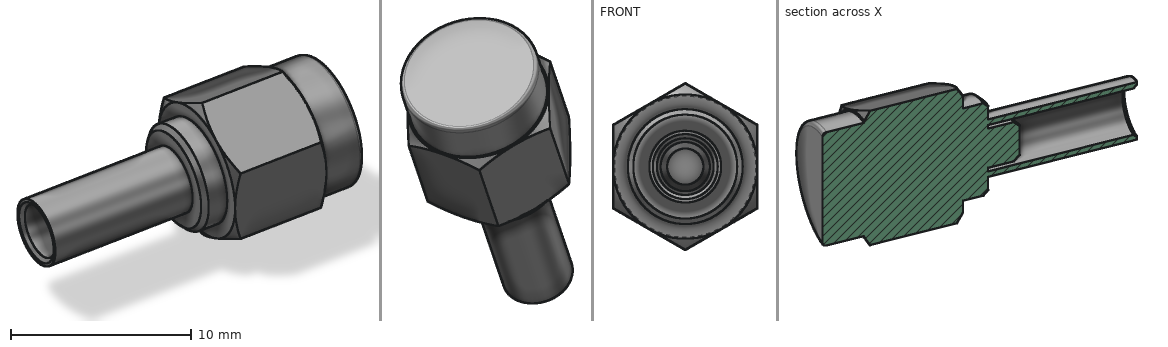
import cadquery as cq
import math

total_length = 19.0
nose_length = 2.5
nut_length = 5.98
collar_length = 1.52
tube_length = total_length - nose_length - nut_length - collar_length

collar_start = tube_length
nut_start = collar_start + collar_length
nose_start = nut_start + nut_length

nut_across_flats = 8.02
nut_chamfer_angle = 30.0
nose_radius = 3.91
nose_edge_round = 0.25
collar_radius = 3.2
collar_chamfer = 0.3
tube_radius = 2.0

bore_radius = 1.58
mouth_chamfer = 0.23
pin_radius = 1.37
pin_tip_radius = 1.0
pin_length = 1.9
pin_chamfer = pin_radius - pin_tip_radius


def cylinder(radius, start, length):
    """Cylinder along +Y from the plane y = start."""
    plane = cq.Plane(origin=(0, start, 0), xDir=(1, 0, 0), normal=(0, 1, 0))
    return cq.Workplane(plane).circle(radius).extrude(length)


def make_nut():
    """Hexagon with corners on +Z and -Z, its corners turned off at both ends."""
    flat_radius = nut_across_flats / 2
    corner_radius = flat_radius / math.cos(math.pi / 6)
    chamfer_length = (corner_radius - flat_radius) * math.tan(math.radians(nut_chamfer_angle))
    corners = [
        (
            corner_radius * math.sin(i * math.pi / 3),
            corner_radius * math.cos(i * math.pi / 3),
        )
        for i in range(6)
    ]
    plane = cq.Plane(origin=(0, nut_start, 0), xDir=(1, 0, 0), normal=(0, 1, 0))
    hexagon = cq.Workplane(plane).polyline(corners).close().extrude(nut_length)
    envelope = (
        cq.Workplane("XY")
        .moveTo(0, nut_start)
        .lineTo(flat_radius, nut_start)
        .lineTo(corner_radius, nut_start + chamfer_length)
        .lineTo(corner_radius, nose_start - chamfer_length)
        .lineTo(flat_radius, nose_start)
        .lineTo(0, nose_start)
        .close()
        .revolve(360, (0, 0, 0), (0, 1, 0))
    )
    return hexagon.intersect(envelope)


def make_tube():
    """Tube with a blind bore down to the collar and a chamfered mouth."""
    tube = cylinder(tube_radius, 0, tube_length)
    bore = cylinder(bore_radius, 0, tube_length)
    mouth = cq.selectors.RadiusNthSelector(0)
    return tube.cut(bore).faces("<Y").edges(mouth).chamfer(mouth_chamfer)


nose = cylinder(nose_radius, nose_start, nose_length).faces(">Y").edges().fillet(nose_edge_round)
collar = cylinder(collar_radius, collar_start, collar_length).faces("<Y").edges().chamfer(collar_chamfer)

pin = cylinder(pin_radius, collar_start - pin_length, pin_length).faces("<Y").edges().chamfer(pin_chamfer)

result = make_nut().union(nose).union(collar).union(make_tube()).union(pin)